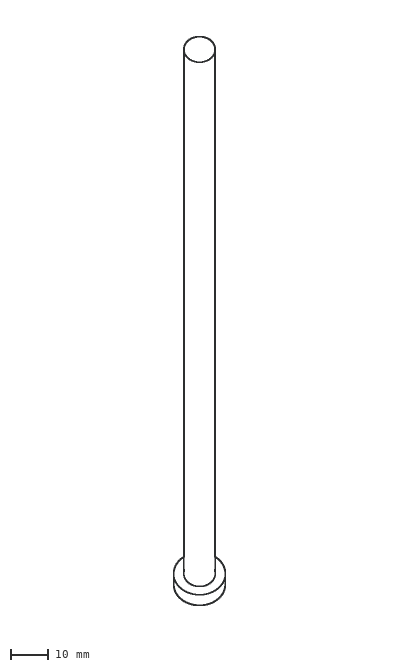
import cadquery as cq

total_length = 250.0
head_diameter = 14.0
head_height = 5.0
shank_diameter = 8.5

head = cq.Workplane("XY").circle(head_diameter / 2).extrude(head_height)
shank = cq.Workplane("XY").circle(shank_diameter / 2).extrude(total_length)

result = head.union(shank)